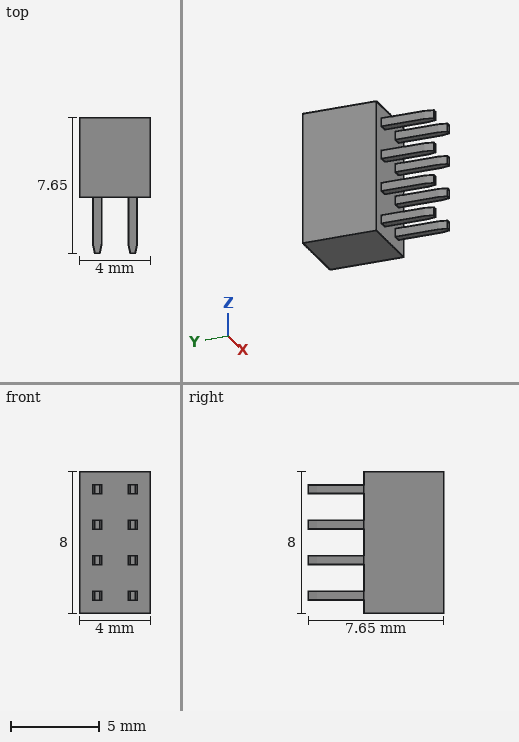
import cadquery as cq

pitch = 2.0
columns = 2
rows = 4

total_depth = 7.65
housing_depth = 4.5
housing_width = columns * pitch
housing_height = rows * pitch

pin_size = 0.5
tip_width = 0.29
taper_length = 0.5
pin_length = total_depth - housing_depth


def make_housing():
    """Plain block centred on X and Z, with its pin face on Y = 0."""
    return cq.Workplane("XY").box(
        housing_width, housing_depth, housing_height, centered=(True, False, True)
    )


def make_pin():
    """One pin along -Y from the pin face, centred on X = Z = 0."""
    half_pin = pin_size / 2
    half_tip = tip_width / 2
    taper_start = -(pin_length - taper_length)
    outline = [
        (-half_pin, 0),
        (-half_pin, taper_start),
        (-half_tip, -pin_length),
        (half_tip, -pin_length),
        (half_pin, taper_start),
        (half_pin, 0),
    ]
    return cq.Workplane("XY").polyline(outline).close().extrude(half_pin, both=True)


result = make_housing()
pin = make_pin()
for column in range(columns):
    for row in range(rows):
        x = (column - (columns - 1) / 2) * pitch
        z = (row - (rows - 1) / 2) * pitch
        result = result.union(pin.translate((x, 0, z)))